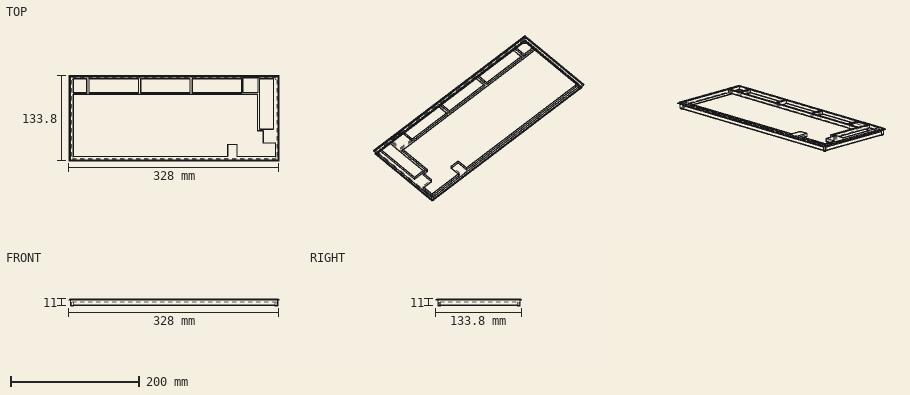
import cadquery as cq

length = 328.0
width = 133.8
height = 11.0

plate_thickness = 5.2
bevel_run = 2.13
bevel_rise = 2.0
plate_bottom = height - plate_thickness
bevel_bottom = height - bevel_rise

skirt_side_inset = 2.0
skirt_back_inset = 2.3
skirt_front_inset = 3.0
skirt_thickness = 1.5
skirt_bottom = 1.0
skirt_right = length / 2 - skirt_side_inset
skirt_left = -skirt_right
skirt_back = width / 2 - skirt_back_inset
skirt_front = skirt_front_inset - width / 2

window_left = -157.5
window_back = 61.5
back_row_front = 40.3
back_rib_width = 4.0
small_window_length = 20.5
long_window_length = 76.7
long_window_count = 3

main_front = -59.5
main_back = 37.5
main_step_right = 129.8
side_rib_front = -19.7
block_left = 139.0
block_front = -38.7
main_far_right = 158.0

side_window_left = 133.5
side_window_right = 154.7
side_window_front = -16.7

tab_left = 83.3
tab_right = 98.5
tab_back = -40.5

badge_left = 107.2
badge_right = 130.5
badge_back = 63.0
badge_depth = 2.0

post_diameter = 4.0
post_side_inset = 2.5
post_radius = post_diameter / 2


def block(x_min, x_max, y_min, y_max, z_min, z_max):
    """Axis-aligned block between the given limits."""
    size = (x_max - x_min, y_max - y_min, z_max - z_min)
    return cq.Workplane("XY").box(*size, centered=False).translate((x_min, y_min, z_min))


def make_bevelled_plate():
    """Solid plate, thin at the overhanging edge and full thickness inside the skirt outline."""
    brim = (
        cq.Workplane("XY")
        .workplane(offset=bevel_bottom)
        .rect(length, width)
        .workplane(offset=bevel_rise)
        .rect(length - 2 * bevel_run, width - 2 * bevel_run)
        .loft(ruled=True)
    )
    core = block(skirt_left, skirt_right, skirt_front, skirt_back, plate_bottom, bevel_bottom)
    return brim.union(core)


def make_skirt():
    """Thin wall around the underside of the plate."""
    outer = block(skirt_left, skirt_right, skirt_front, skirt_back, skirt_bottom, plate_bottom)
    inner = block(
        skirt_left + skirt_thickness,
        skirt_right - skirt_thickness,
        skirt_front + skirt_thickness,
        skirt_back - skirt_thickness,
        skirt_bottom,
        plate_bottom,
    )
    return outer.cut(inner)


def window(x_min, x_max, y_min, y_max):
    """Rectangular cutter through the plate."""
    return block(x_min, x_max, y_min, y_max, plate_bottom, height)


def make_back_row():
    """Cutter for one small window followed by equal long ones, with a rib between neighbours."""
    left = window_left
    right = left + small_window_length
    cutter = window(left, right, back_row_front, window_back)
    for _ in range(long_window_count):
        left = right + back_rib_width
        right = left + long_window_length
        cutter = cutter.union(window(left, right, back_row_front, window_back))
    return cutter


def make_main_window():
    """Cutter for the large window, stepped around the tab, the block and the side rib."""
    outline = [
        (window_left, main_front),
        (tab_left, main_front),
        (tab_left, tab_back),
        (tab_right, tab_back),
        (tab_right, main_front),
        (main_far_right, main_front),
        (main_far_right, block_front),
        (block_left, block_front),
        (block_left, side_rib_front),
        (main_step_right, side_rib_front),
        (main_step_right, main_back),
        (window_left, main_back),
    ]
    sketch = cq.Workplane("XY").workplane(offset=plate_bottom).polyline(outline).close()
    return sketch.extrude(plate_thickness)


def make_badge_pocket():
    """Cutter for the shallow pocket at the right end of the back row."""
    return block(badge_left, badge_right, back_row_front, badge_back, height - badge_depth, height)


def make_posts():
    """Four posts under the plate corners, touching the front and back skirt faces."""
    post_x = skirt_right - post_side_inset
    back_y = skirt_back - post_radius
    front_y = skirt_front + post_radius
    centres = [(x, y) for x in (-post_x, post_x) for y in (front_y, back_y)]
    return cq.Workplane("XY").pushPoints(centres).circle(post_radius).extrude(plate_bottom)


frame = make_bevelled_plate().union(make_skirt())
frame = frame.cut(make_back_row()).cut(make_main_window())
frame = frame.cut(window(side_window_left, side_window_right, side_window_front, window_back))
frame = frame.cut(make_badge_pocket())
result = frame.union(make_posts())